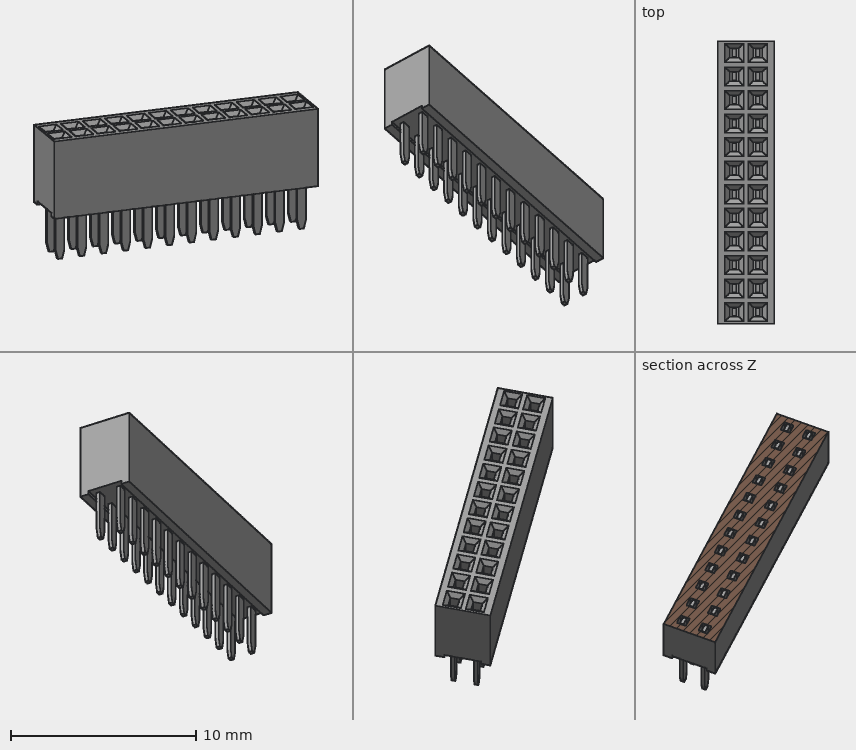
import cadquery as cq


length = 15.24
width = 3.05
body_height = 4.4
total_height = 7.0
rail_width = 0.5
rail_height = 0.2

rows = 12
columns = 2
pitch = length / rows

mouth_size = 1.0
socket_size = 0.5
funnel_depth = (mouth_size - socket_size) / 2
socket_depth = 2.29

pin_thickness = 0.21
pin_width = 0.5
tip_width = 0.25
tip_length = 0.5
contact_width = 0.43
contact_height = 0.76

pin_bottom = body_height - total_height
socket_floor = body_height - socket_depth


def at_contacts(shape):
    """Copy a shape to every contact position."""
    grid = cq.Workplane("XY").rarray(pitch, pitch, columns, rows)
    return grid.eachpoint(lambda place: shape.val().moved(place), combine=False)


def make_housing():
    """Block with a full-length channel between two standing rails."""
    block = cq.Workplane("XY").box(width, length, body_height, centered=(True, True, False))
    channel = cq.Workplane("XY").box(
        width - 2 * rail_width, length, rail_height, centered=(True, True, False)
    )
    return block.cut(channel)


def make_socket():
    """Square pocket below a tapered funnel."""
    funnel = (
        cq.Workplane("XY", origin=(0, 0, body_height))
        .rect(mouth_size, mouth_size)
        .workplane(offset=-funnel_depth)
        .rect(socket_size, socket_size)
        .loft(ruled=True)
    )
    pocket = cq.Workplane("XY", origin=(0, 0, socket_floor)).box(
        socket_size, socket_size, socket_depth - funnel_depth, centered=(True, True, False)
    )
    return funnel.union(pocket)


def make_pin():
    """Solder pin with a tip tapered in Y, rooted in the housing."""
    outline = [
        (-pin_width / 2, socket_floor),
        (-pin_width / 2, pin_bottom + tip_length),
        (-tip_width / 2, pin_bottom),
        (tip_width / 2, pin_bottom),
        (pin_width / 2, pin_bottom + tip_length),
        (pin_width / 2, socket_floor),
    ]
    return cq.Workplane("YZ").polyline(outline).close().extrude(pin_thickness / 2, both=True)


def make_contact():
    """Blade rising from the socket floor, directly above the pin."""
    return cq.Workplane("XY", origin=(0, 0, socket_floor)).box(
        pin_thickness, contact_width, contact_height, centered=(True, True, False)
    )


result = (
    make_housing()
    .cut(at_contacts(make_socket()))
    .union(at_contacts(make_pin()))
    .union(at_contacts(make_contact()))
)